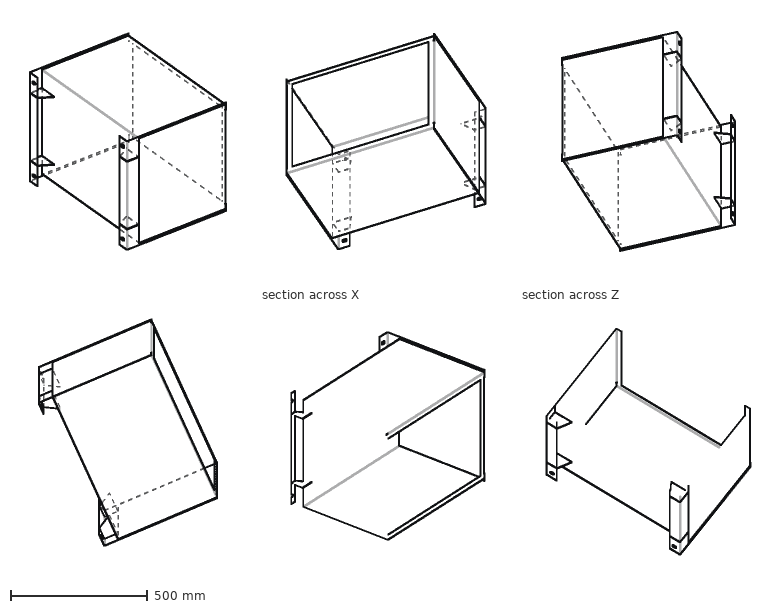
import cadquery as cq
import math

WIDTH = 600.0
DEPTH = 455.0
HEIGHT = 470.0

SHEET = 2.0
BEND_RADIUS = 4.0

BOX_DEPTH = 400.0
SIDE_OVERHANG = 7.5
BACK_LIP = 24.0

FLANGE_WIDTH = 47.5
SLOT_LENGTH = 17.2
SLOT_DIAMETER = 11.2
SLOT_FROM_SIDE = 26.5
SLOT_FROM_END = 34.0

GUSSET_THICKNESS = 4.0
GUSSET_FROM_END = 88.5
GUSSET_BASE = 78.0

X_SIDE = WIDTH / 2
Y_FRONT = -DEPTH / 2
Y_BACK = DEPTH / 2
Y_WALL = Y_BACK - BOX_DEPTH
Z_TOP = HEIGHT / 2
SHELL_HEIGHT = HEIGHT - 2 * SIDE_OVERHANG
LIP_SPAN = SHELL_HEIGHT - 2 * BACK_LIP
INNER_WIDTH = WIDTH - 2 * SHEET
BEND_INSIDE = BEND_RADIUS - SHEET


def both_sides(body):
    """Return the body together with its mirror image across the YZ plane."""
    return body.union(body.mirror("YZ"))


def make_shell():
    """Top, bottom, front wall and back lips bent from one sheet, open at the back."""
    mid_y = Y_WALL + BOX_DEPTH / 2
    outer = (
        cq.Workplane("XY")
        .box(INNER_WIDTH, BOX_DEPTH, SHELL_HEIGHT)
        .edges("|X")
        .fillet(BEND_RADIUS)
    )
    cavity = (
        cq.Workplane("XY")
        .box(INNER_WIDTH, BOX_DEPTH - 2 * SHEET, SHELL_HEIGHT - 2 * SHEET)
        .edges("|X")
        .fillet(BEND_INSIDE)
    )
    opening = (
        cq.Workplane("XY")
        .box(INNER_WIDTH, BOX_DEPTH, LIP_SPAN)
        .translate((0, BOX_DEPTH / 2, 0))
    )
    return outer.cut(cavity).cut(opening).translate((0, mid_y, 0))


def bent_block(radius):
    """Block as wide as the flange, resting on X = 0, rounded along its front left edge."""
    return (
        cq.Workplane("XY")
        .box(FLANGE_WIDTH, DEPTH, HEIGHT, centered=(False, True, True))
        .edges("|Z and <X and <Y")
        .fillet(radius)
    )


def make_side_panel():
    """Left side panel with its slotted front flange and its back lip."""
    outer = bent_block(BEND_RADIUS)
    inside = bent_block(BEND_INSIDE).translate((SHEET, SHEET, 0))
    front = outer.cut(inside)

    lip_zone = (
        cq.Workplane("XY")
        .box(2 * BACK_LIP, DEPTH, LIP_SPAN)
        .translate((0, Y_BACK, 0))
    )
    back_lip = front.mirror("XZ").intersect(lip_zone)
    slot_z = Z_TOP - SLOT_FROM_END
    slots = (
        cq.Workplane("XZ", origin=(SLOT_FROM_SIDE, Y_FRONT + SHEET, 0))
        .pushPoints([(0, slot_z), (0, -slot_z)])
        .slot2D(SLOT_LENGTH, SLOT_DIAMETER)
        .extrude(SHEET)
    )
    bend_relief = (
        cq.Workplane("XY")
        .box(2 * BEND_RADIUS, 2 * BEND_RADIUS, LIP_SPAN)
        .translate((0, Y_BACK, 0))
    )
    panel = front.cut(slots).cut(bend_relief).union(back_lip)
    return panel.translate((-X_SIDE, 0, 0))


def make_gusset(mid_z):
    """Left gusset between the side panel, the front wall and the flange."""
    x_inside = SHEET - X_SIDE
    y_flange = Y_FRONT + SHEET
    bend_x = BEND_RADIUS - X_SIDE
    bend_y = Y_FRONT + BEND_RADIUS
    bend_mid = BEND_INSIDE * math.sqrt(0.5)
    return (
        cq.Workplane("XY", origin=(0, 0, mid_z - GUSSET_THICKNESS / 2))
        .moveTo(x_inside, Y_WALL)
        .lineTo(GUSSET_BASE - X_SIDE, Y_WALL)
        .lineTo(FLANGE_WIDTH - X_SIDE, y_flange)
        .lineTo(bend_x, y_flange)
        .threePointArc((bend_x - bend_mid, bend_y - bend_mid), (x_inside, bend_y))
        .close()
        .extrude(GUSSET_THICKNESS)
    )


gusset_z = Z_TOP - GUSSET_FROM_END
side = make_side_panel()
for level in (gusset_z, -gusset_z):
    side = side.union(make_gusset(level))

result = make_shell().union(both_sides(side))